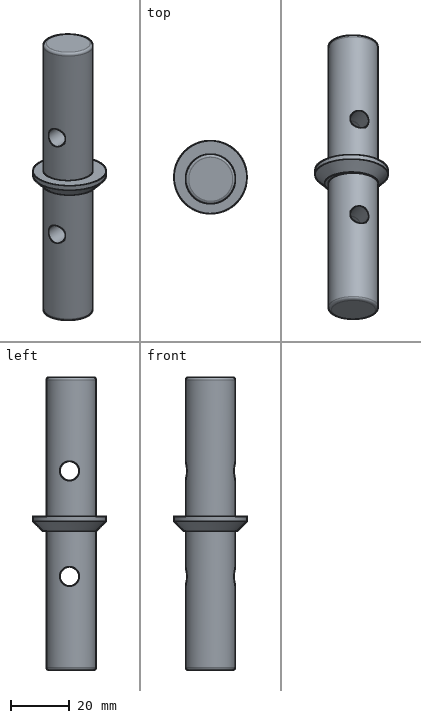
import cadquery as cq

pin_length = 100.0
pin_diameter = 17.0
pin_offset = -0.6
end_fillet = 1.0

collar_diameter = 25.0
collar_height = 5.0
collar_rim_height = 1.7

hole_diameter = 6.5
hole_offset = 18.0

collar_top = collar_height / 2
collar_bottom = -collar_height / 2
rim_bottom = collar_top - collar_rim_height
cone_height = rim_bottom - collar_bottom
collar_base_radius = collar_diameter / 2 - cone_height


def make_pin():
    """Round pin with rounded rims at both ends."""
    pin = (
        cq.Workplane("XY")
        .center(0, pin_offset)
        .circle(pin_diameter / 2)
        .extrude(pin_length / 2, both=True)
    )
    return pin.faces("|Z").edges().fillet(end_fillet)


def make_collar():
    """Collar with a straight rim above a 45 degree cone that narrows downward."""
    half_profile = [
        (0, collar_bottom),
        (collar_base_radius, collar_bottom),
        (collar_diameter / 2, rim_bottom),
        (collar_diameter / 2, collar_top),
        (0, collar_top),
    ]
    return cq.Workplane("XZ").polyline(half_profile).close().revolve(360, (0, 0), (0, 1))


def make_cross_hole(height):
    """Cutter for a hole along X through the collar's axis at the given height."""
    return (
        cq.Workplane("YZ")
        .center(0, height)
        .circle(hole_diameter / 2)
        .extrude(pin_diameter, both=True)
    )


result = make_pin().union(make_collar())
for height in (-hole_offset, hole_offset):
    result = result.cut(make_cross_hole(height))